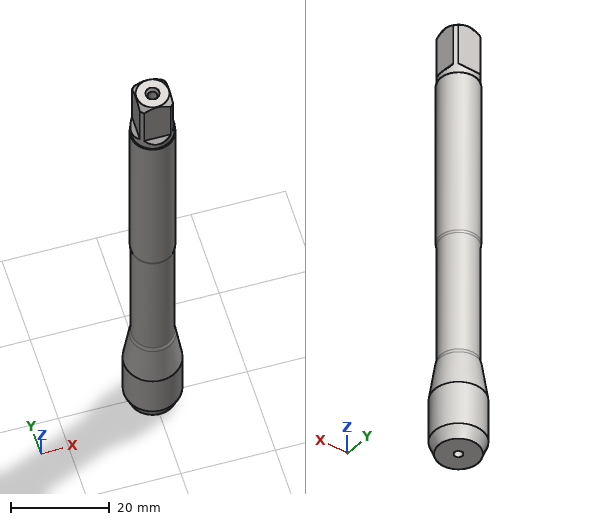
import cadquery as cq

total_length = 110.0

head_dia = 12.2
head_tip_dia = 9.9
lead_in_height = 3.1
head_top = 14.0

taper_top_dia = 9.6
taper_top = 23.0
neck_dia = 9.0
neck_bottom = 24.0
neck_top = 54.6
grip_dia = 9.4
grip_bottom = 55.1
grip_top = 96.4
collar_dia = neck_dia
collar_bottom = 96.6

square_width = 7.0
square_bottom = 98.9
end_face_dia = 6.8
end_chamfer = (collar_dia - end_face_dia) / 2

bore_dia = 2.0
bore_mouth_dia = 2.9
mouth_depth = 0.9


def turned(profile):
    """Revolve a list of (diameter, height) corners, closed along the Z axis."""
    outline = [(dia / 2, z) for dia, z in profile]
    axis_ends = [(0, profile[-1][1]), (0, profile[0][1])]
    return cq.Workplane("XZ").polyline(outline + axis_ends).close().revolve(360, (0, 0), (0, 1))


def axial_bore(bottom, top):
    return cq.Workplane("XY").workplane(offset=bottom).circle(bore_dia / 2).extrude(top - bottom)


def drive_envelope():
    """Square prism that flares outward at 45 degrees below the flats."""
    flare = collar_dia
    flare_width = square_width + 2 * flare
    flats = (
        cq.Workplane("XY").workplane(offset=square_bottom)
        .rect(square_width, square_width).extrude(total_length - square_bottom)
    )
    flared_base = (
        cq.Workplane("XY").workplane(offset=square_bottom - flare)
        .rect(flare_width, flare_width)
        .workplane(offset=flare).rect(square_width, square_width).loft(ruled=True)
    )
    below = cq.Workplane("XY").rect(flare_width, flare_width).extrude(square_bottom - flare)
    return below.union(flared_base).union(flats)


def make_head():
    body = turned([
        (head_tip_dia, 0),
        (head_dia, lead_in_height),
        (head_dia, head_top),
    ])
    return body.cut(axial_bore(0, head_top))


def make_shank():
    body = turned([
        (head_dia, head_top),
        (taper_top_dia, taper_top),
        (neck_dia, neck_bottom),
        (neck_dia, neck_top),
        (grip_dia, grip_bottom),
        (grip_dia, grip_top),
        (collar_dia, collar_bottom),
        (collar_dia, total_length - end_chamfer),
        (end_face_dia, total_length),
    ])
    bore_mouth = turned([
        (bore_dia, total_length - mouth_depth),
        (bore_mouth_dia, total_length),
    ])
    return body.intersect(drive_envelope()).cut(axial_bore(head_top, total_length)).cut(bore_mouth)


head = make_head()
shank = make_shank()
result = cq.Compound.makeCompound([head.val(), shank.val()])